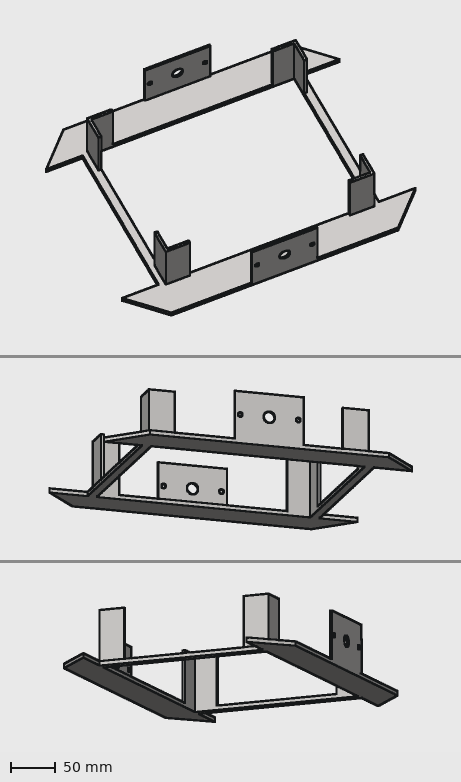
import cadquery as cq

frame_width = 282.0
frame_length = 360.0
base_thickness = 5.0
rail_width = 41.8
rail_tip_length = 40.5
crossbar_width = 10.8
crossbar_inset = 44.5

total_height = 65.0
post_leg = 30.0
post_thickness = 3.5

plate_length = 80.3
plate_thickness = 2.0
plate_top = 60.5
hole_height = 33.5
center_hole_diameter = 13.0
side_hole_diameter = 5.0
side_hole_offset = 34.0

half_width = frame_width / 2
half_length = frame_length / 2
inner_x = half_width - rail_width
opening_half_length = half_length - crossbar_inset - crossbar_width
shoulder_y = half_length - rail_tip_length


def mirrored_pair(body, plane):
    return body.union(body.mirror(plane))


def left_rail():
    """Flat rail with its ends slanted to a point on the inner side."""
    outline = [
        (-half_width, -shoulder_y),
        (-inner_x, -half_length),
        (-inner_x, half_length),
        (-half_width, shoulder_y),
    ]
    return cq.Workplane("XY").polyline(outline).close().extrude(base_thickness)


def back_crossbar():
    """Narrow bar joining the inner edges of the two rails."""
    center_y = opening_half_length + crossbar_width / 2
    return (
        cq.Workplane("XY")
        .center(0, center_y)
        .rect(2 * inner_x, crossbar_width)
        .extrude(base_thickness)
    )


def back_left_post():
    """L-section post, its inner faces flush with the frame opening."""
    corner_x = -inner_x - post_thickness
    corner_y = opening_half_length + post_thickness
    return (
        cq.Workplane("XY")
        .moveTo(corner_x, corner_y)
        .hLine(post_leg)
        .vLine(-post_thickness)
        .hLine(post_thickness - post_leg)
        .vLine(post_thickness - post_leg)
        .hLine(-post_thickness)
        .close()
        .extrude(total_height)
    )


def left_plate():
    """Upright plate flush with the rail's outer side, with three holes."""
    plate = (
        cq.Workplane("YZ", origin=(-half_width, 0, 0))
        .center(0, plate_top / 2)
        .rect(plate_length, plate_top)
        .extrude(plate_thickness)
    )
    hole_plane = cq.Workplane("YZ", origin=(-half_width, 0, hole_height))
    center_hole = hole_plane.circle(center_hole_diameter / 2).extrude(plate_thickness)
    side_holes = (
        hole_plane.pushPoints([(-side_hole_offset, 0), (side_hole_offset, 0)])
        .circle(side_hole_diameter / 2)
        .extrude(plate_thickness)
    )
    return plate.cut(center_hole).cut(side_holes)


rails = mirrored_pair(left_rail(), "YZ")
crossbars = mirrored_pair(back_crossbar(), "XZ")
posts = mirrored_pair(mirrored_pair(back_left_post(), "YZ"), "XZ")
plates = mirrored_pair(left_plate(), "YZ")

result = rails.union(crossbars).union(posts).union(plates)